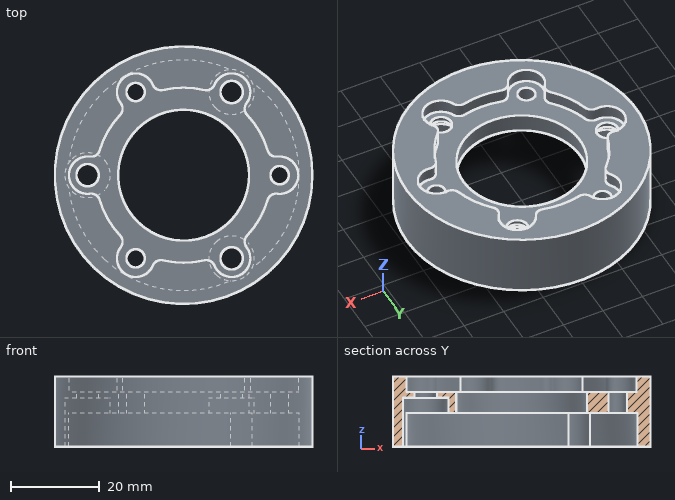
import cadquery as cq
import math

BODY_DIAMETER = 58.0
BODY_HEIGHT = 15.88
BORE_DIAMETER = 29.4

POCKET_DEPTH = 3.5
POCKET_RADIUS = 19.7
LOBE_RADIUS = 4.2
NECK_RADIUS = 2.0

HOLE_COUNT = 6
HOLE_PITCH_RADIUS = 21.6
SMALL_HOLE_DIAMETER = 4.07
LARGE_HOLE_DIAMETER = 4.98
COUNTERBORE_DIAMETER = 10.16
COUNTERBORE_SEAT = 1.35

WEB_THICKNESS = 4.75
CAVITY_WALL = 3.0
CAVITY_DIAMETER = BODY_DIAMETER - 2 * CAVITY_WALL

POCKET_FLOOR_Z = BODY_HEIGHT - POCKET_DEPTH
CAVITY_HEIGHT = POCKET_FLOOR_Z - WEB_THICKNESS
COUNTERBORE_TOP_Z = POCKET_FLOOR_Z - COUNTERBORE_SEAT
HOLE_STEP = 2 * math.pi / HOLE_COUNT


def polar(radius, angle):
    """Point at a radius and an angle (radians) about the part's axis."""
    return (radius * math.cos(angle), radius * math.sin(angle))


def point_between(start, end, distance):
    """Point at a distance from start, measured toward end."""
    share = distance / math.dist(start, end)
    return (start[0] + share * (end[0] - start[0]), start[1] + share * (end[1] - start[1]))


def cylinder(diameter, bottom_z, top_z, center=(0, 0)):
    """Upright cylinder between two heights."""
    disc = cq.Workplane("XY", origin=(0, 0, bottom_z)).center(*center).circle(diameter / 2)
    return disc.extrude(top_z - bottom_z)


def pocket():
    """Round pocket with a lobe at each hole, blended by rounded necks."""
    neck_distance = POCKET_RADIUS + NECK_RADIUS
    lobe_to_neck = LOBE_RADIUS + NECK_RADIUS
    neck_cosine = (neck_distance**2 + HOLE_PITCH_RADIUS**2 - lobe_to_neck**2) / (
        2 * neck_distance * HOLE_PITCH_RADIUS
    )
    neck_angle = math.acos(neck_cosine)

    outline = cq.Workplane("XY", origin=(0, 0, POCKET_FLOOR_Z))
    outline = outline.moveTo(*polar(POCKET_RADIUS, -neck_angle))
    for index in range(HOLE_COUNT):
        angle = index * HOLE_STEP
        lobe = polar(HOLE_PITCH_RADIUS, angle)
        neck_before = polar(neck_distance, angle - neck_angle)
        neck_after = polar(neck_distance, angle + neck_angle)
        lobe_tip = polar(HOLE_PITCH_RADIUS + LOBE_RADIUS, angle)
        lobe_start = point_between(lobe, neck_before, LOBE_RADIUS)
        lobe_end = point_between(lobe, neck_after, LOBE_RADIUS)
        rim_start = polar(POCKET_RADIUS, angle + neck_angle)
        rim_middle = polar(POCKET_RADIUS, angle + HOLE_STEP / 2)
        rim_end = polar(POCKET_RADIUS, angle + HOLE_STEP - neck_angle)
        outline = outline.radiusArc(lobe_start, NECK_RADIUS)
        outline = outline.threePointArc(lobe_tip, lobe_end)
        outline = outline.radiusArc(rim_start, NECK_RADIUS)
        outline = outline.threePointArc(rim_middle, rim_end)
    return outline.close().extrude(POCKET_DEPTH)


def small_hole(center):
    """Plain through hole."""
    return cylinder(SMALL_HOLE_DIAMETER, 0, BODY_HEIGHT, center)


def large_hole(center):
    """Through hole counterbored from the bottom face, scalloping the cavity wall."""
    hole = cylinder(LARGE_HOLE_DIAMETER, 0, BODY_HEIGHT, center)
    return hole.union(cylinder(COUNTERBORE_DIAMETER, 0, COUNTERBORE_TOP_Z, center))


body = cylinder(BODY_DIAMETER, 0, BODY_HEIGHT)
body = body.cut(cylinder(BORE_DIAMETER, 0, BODY_HEIGHT))
body = body.cut(cylinder(CAVITY_DIAMETER, 0, CAVITY_HEIGHT))
body = body.cut(pocket())

for index in range(HOLE_COUNT):
    hole_center = polar(HOLE_PITCH_RADIUS, index * HOLE_STEP)
    is_large = index % 2 == 1
    body = body.cut(large_hole(hole_center) if is_large else small_hole(hole_center))

result = body